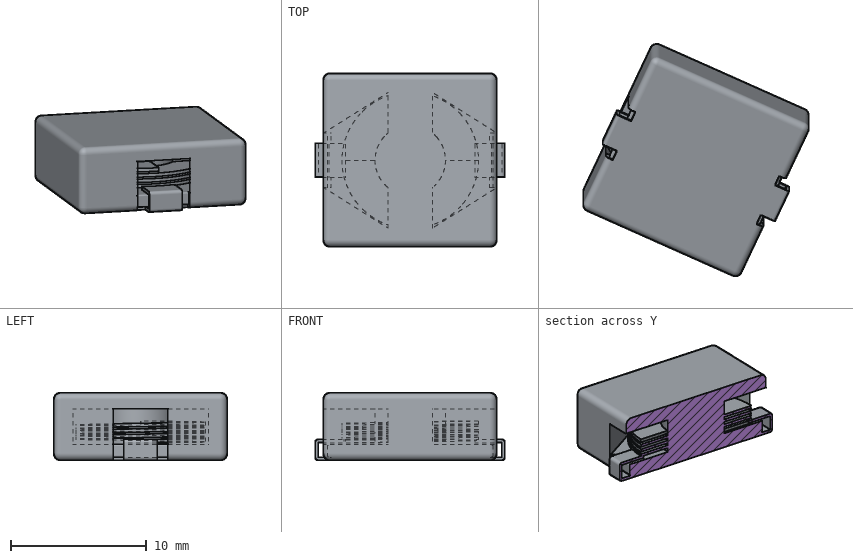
import cadquery as cq

BODY_SIDE = 12.8
BODY_HEIGHT = 5.0
BODY_RADIUS = 0.5

SPAN = 14.0
TONGUE_WIDTH = 2.5
TONGUE_HEIGHT = 1.57
SHEET = 0.25
SHOULDER_TOP = 1.19
SHOULDER_SETBACK = 0.31
FOOT_SETBACK = 0.56
SHOULDER_RADIUS = 0.11

WINDOW_WIDTH = 4.0
WINDOW_TOP = 3.8
WINDOW_FLARE = 0.63
WINDOW_DEPTH = 4.75

CORE_DIAMETER = 5.2
COIL_DIAMETER = 10.08
WIRE_HEIGHT = 0.25
COIL_TURNS = 3.5
COIL_RISE = 1.4
FIRST_TURN_MIDDLE = 1.41
OVERLAP = 0.07

coil_pitch = COIL_RISE / COIL_TURNS
body_half = BODY_SIDE / 2
window_half = WINDOW_WIDTH / 2
shoulder_face = -body_half + SHOULDER_SETBACK
foot_face = -body_half + FOOT_SETBACK


def block(x_min, x_max, width, z_min, z_max):
    """Box centred on the XZ plane."""
    size_x = x_max - x_min
    size_z = z_max - z_min
    box = cq.Workplane("XY").box(size_x, width, size_z, centered=(False, True, False))
    return box.translate((x_min, 0, z_min))


def on_both_ends(shape):
    """The shape on the -X end together with its half-turn copy on the +X end."""
    return shape.union(shape.rotate((0, 0, 0), (0, 0, 1), 180))


def make_body():
    return (
        cq.Workplane("XY")
        .box(BODY_SIDE, BODY_SIDE, BODY_HEIGHT, centered=(True, True, False))
        .edges()
        .fillet(BODY_RADIUS)
    )


def make_window():
    """Flared pocket above the shoulder, and a shallow notch down to the underside below it."""
    back_x = -body_half + WINDOW_DEPTH
    back_half = window_half + WINDOW_FLARE * WINDOW_DEPTH
    flared_pocket = (
        cq.Workplane("XY", origin=(0, 0, SHOULDER_TOP))
        .polyline([
            (-body_half, -window_half),
            (back_x, -back_half),
            (back_x, back_half),
            (-body_half, window_half),
        ])
        .close()
        .extrude(WINDOW_TOP - SHOULDER_TOP)
    )
    notch = block(-body_half, foot_face, WINDOW_WIDTH, 0, SHOULDER_TOP)
    return flared_pocket.union(notch)


def make_terminal():
    shoulder_back = -COIL_DIAMETER / 2
    shoulder = (
        block(shoulder_face, shoulder_back, WINDOW_WIDTH, SHEET, SHOULDER_TOP)
        .edges("<X and |Y")
        .fillet(SHOULDER_RADIUS)
    )
    foot = block(foot_face, shoulder_back, WINDOW_WIDTH, 0, SHEET)

    tongue_tip = -SPAN / 2
    tongue_back = shoulder_back + SHEET
    tongue = (
        block(tongue_tip, tongue_back, TONGUE_WIDTH, 0, TONGUE_HEIGHT)
        .edges("<X and |Y")
        .fillet(SHEET)
    )
    bend_inside = block(tongue_tip + SHEET, tongue_back, TONGUE_WIDTH, SHEET, TONGUE_HEIGHT - SHEET)
    return tongue.cut(bend_inside).union(shoulder).union(foot)


def make_core():
    return (
        cq.Workplane("XY", origin=(0, 0, SHOULDER_TOP))
        .circle(CORE_DIAMETER / 2)
        .extrude(WINDOW_TOP - SHOULDER_TOP)
    )


def make_wire_stretch(start_turn, end_turn):
    """Part of the flat wire between two turn counts, counted from the -X end upwards."""
    inner_radius = CORE_DIAMETER / 2 - OVERLAP
    outer_radius = COIL_DIAMETER / 2
    middle_radius = (inner_radius + outer_radius) / 2
    rise = coil_pitch * (end_turn - start_turn)
    helix = cq.Wire.makeHelix(coil_pitch, rise, middle_radius)
    stretch = (
        cq.Workplane("XZ")
        .center(middle_radius, 0)
        .rect(outer_radius - inner_radius, WIRE_HEIGHT)
        .sweep(cq.Workplane(helix), isFrenet=True)
    )
    start_angle = 180 + 360 * start_turn
    start_z = FIRST_TURN_MIDDLE + coil_pitch * start_turn
    return stretch.rotate((0, 0, 0), (0, 0, 1), start_angle).translate((0, 0, start_z))


def add_coil(part):
    """Wind the wire in stretches that meet at the Y sides, where the body covers the joints."""
    joints = [0.25 + 0.5 * index for index in range(int(2 * COIL_TURNS))]
    stretch_ends = [0] + joints + [COIL_TURNS]
    for start_turn, end_turn in zip(stretch_ends, stretch_ends[1:]):
        part = part.union(make_wire_stretch(start_turn, end_turn))
    return part


body_with_core = make_body().cut(on_both_ends(make_window())).union(make_core())
result = add_coil(body_with_core).union(on_both_ends(make_terminal()))